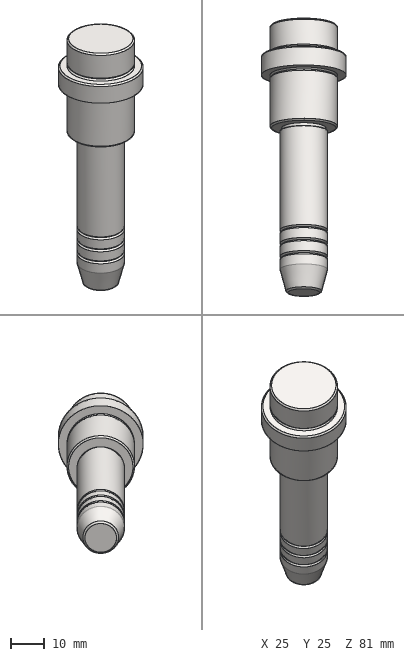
import cadquery as cq
import math

total_height = 81.0
body_radius = 10.0
flange_radius = 25.0 / 2
shank_radius = 14.0 / 2

flange_top = 72.0
flange_height = 6.0
flange_bottom = flange_top - flange_height
body_bottom = 50.0
neck_height = 1.0
neck_depth = 0.5
shank_top = body_bottom - neck_height

taper_height = 7.0
taper_angle = 15.0
tip_radius = shank_radius - taper_height * math.tan(math.radians(taper_angle))
edge_chamfer = 0.5

groove_depth = 0.5
lowest_groove_height = 10.5
groove_pitch = 4.0
groove_count = 3


def cylinder(radius, bottom, top):
    return cq.Workplane("XY").workplane(offset=bottom).circle(radius).extrude(top - bottom)


def v_groove(radius, center_height):
    """Ring-shaped cutter for a V groove in a cylinder of the given radius."""
    reach = 2 * groove_depth
    return (
        cq.Workplane("XZ")
        .moveTo(radius - groove_depth, center_height)
        .lineTo(radius - groove_depth + reach, center_height + reach)
        .lineTo(radius - groove_depth + reach, center_height - reach)
        .close()
        .revolve(360, (0, 0, 0), (0, 1, 0))
    )


def make_tip():
    tip = (
        cq.Workplane("XY")
        .circle(tip_radius)
        .workplane(offset=taper_height)
        .circle(shank_radius)
        .loft()
    )
    return tip.faces("<Z").chamfer(edge_chamfer)


def make_shank():
    shank = cylinder(shank_radius, taper_height, shank_top)
    for index in range(groove_count):
        shank = shank.cut(v_groove(shank_radius, lowest_groove_height + index * groove_pitch))
    return shank.union(cylinder(shank_radius - neck_depth, shank_top, body_bottom))


def make_body():
    body = cylinder(body_radius, body_bottom, total_height).faces("<Z or >Z").chamfer(edge_chamfer)
    body = body.cut(v_groove(body_radius, flange_top + groove_depth))
    return body.cut(v_groove(body_radius, flange_bottom - groove_depth))


def make_flange():
    return cylinder(flange_radius, flange_bottom, flange_top).faces(">Z").chamfer(edge_chamfer)


result = make_tip().union(make_shank()).union(make_body()).union(make_flange())